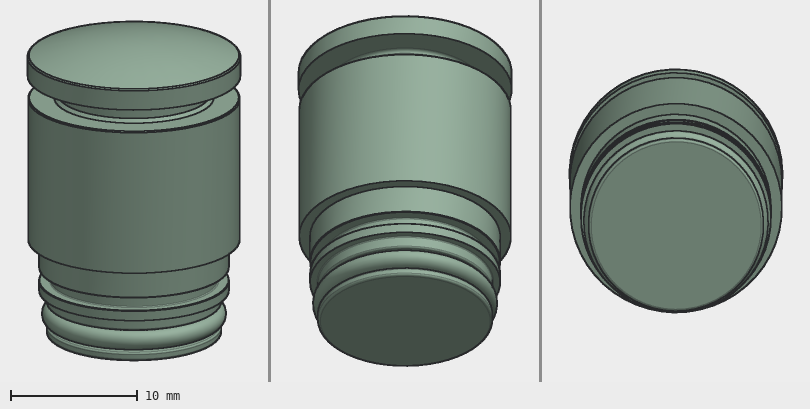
import cadquery as cq

cap_diameter = 16.8
body_diameter = 16.7
neck_diameter = 12.0
collar_diameter = 15.0
clip_groove_diameter = 13.2
spigot_diameter = 13.8
seal_groove_diameter = 11.6

foot_top = 0.7
seal_groove_top = 2.55
flange_bottom = 3.58
flange_top = 4.4
collar_bottom = 5.46
body_bottom = 7.82
body_top = 19.6
cap_bottom = 21.41
dome_base = 23.13
total_height = 24.5

cap_chamfer = 0.12
body_chamfer = 0.1
clip_groove_edge_chamfer = 0.05
spigot_fillet = 0.15
foot_fillet = 0.2
neck_fillet = 0.3
neck_chamfer = 0.3
root_fillet = 0.07

ring_outer_diameter = 14.53
ring_section_diameter = 1.52
ring_center_radius = (ring_outer_diameter - ring_section_diameter) / 2
ring_center_height = (foot_top + seal_groove_top) / 2


def cylinder(diameter, bottom, top):
    return cq.Workplane("XY").workplane(offset=bottom).circle(diameter / 2).extrude(top - bottom)


def make_cap():
    """Round button with a shallow spherical dome and a chamfered rim."""
    cap_radius = cap_diameter / 2
    dome_radius = cap_radius - cap_chamfer
    dome_rise = total_height - dome_base
    sphere_radius = (dome_radius**2 + dome_rise**2) / (2 * dome_rise)
    sphere_center = total_height - sphere_radius
    arc_x = dome_radius / 2
    arc_z = sphere_center + (sphere_radius**2 - arc_x**2) ** 0.5
    return (
        cq.Workplane("XZ")
        .moveTo(0, cap_bottom)
        .lineTo(cap_radius, cap_bottom)
        .lineTo(cap_radius, dome_base - cap_chamfer)
        .lineTo(dome_radius, dome_base)
        .threePointArc((arc_x, arc_z), (0, total_height))
        .close()
        .revolve(360, (0, 0), (0, 1))
    )


def make_neck():
    """Neck under the cap, with a conical flare at its foot and a concave fillet below the cap."""
    radius = neck_diameter / 2
    return (
        cq.Workplane("XZ")
        .moveTo(0, body_top)
        .lineTo(radius + neck_chamfer, body_top)
        .lineTo(radius, body_top + neck_chamfer)
        .lineTo(radius, cap_bottom - neck_fillet)
        .radiusArc((radius + neck_fillet, cap_bottom), neck_fillet)
        .lineTo(0, cap_bottom)
        .close()
        .revolve(360, (0, 0), (0, 1))
    )


def make_root_ring(diameter, height, direction):
    """Concave fillet around a shaft, rising (+1) or hanging (-1) from a shoulder."""
    inner_radius = diameter / 2
    return (
        cq.Workplane("XZ")
        .moveTo(0, height)
        .lineTo(inner_radius + root_fillet, height)
        .radiusArc((inner_radius, height + direction * root_fillet), direction * root_fillet)
        .lineTo(0, height + direction * root_fillet)
        .close()
        .revolve(360, (0, 0), (0, 1))
    )


def make_sealing_ring():
    return (
        cq.Workplane("XZ")
        .center(-ring_center_radius, ring_center_height)
        .circle(ring_section_diameter / 2)
        .revolve(360, (ring_center_radius, 0), (ring_center_radius, 1))
    )


body = cylinder(body_diameter, body_bottom, body_top).faces(">Z").chamfer(body_chamfer)
collar = cylinder(collar_diameter, collar_bottom, body_bottom).faces("<Z").chamfer(clip_groove_edge_chamfer)
clip_groove = cylinder(clip_groove_diameter, flange_top, collar_bottom)
flange = cylinder(collar_diameter, flange_bottom, flange_top).faces(">Z").chamfer(clip_groove_edge_chamfer)
spigot = cylinder(spigot_diameter, seal_groove_top, flange_bottom).faces("<Z").edges().fillet(spigot_fillet)
seal_groove = cylinder(seal_groove_diameter, foot_top, seal_groove_top)
foot = cylinder(spigot_diameter, 0, foot_top)
foot = foot.faces(">Z").edges().fillet(spigot_fillet).faces("<Z").edges().fillet(foot_fillet)

result = make_cap()
for section in (
    make_neck(),
    body,
    collar,
    clip_groove,
    flange,
    spigot,
    seal_groove,
    foot,
    make_root_ring(clip_groove_diameter, flange_top, 1),
    make_root_ring(clip_groove_diameter, collar_bottom, -1),
    make_root_ring(spigot_diameter, flange_bottom, -1),
    make_root_ring(seal_groove_diameter, foot_top, 1),
    make_root_ring(seal_groove_diameter, seal_groove_top, -1),
    make_sealing_ring(),
):
    result = result.union(section)